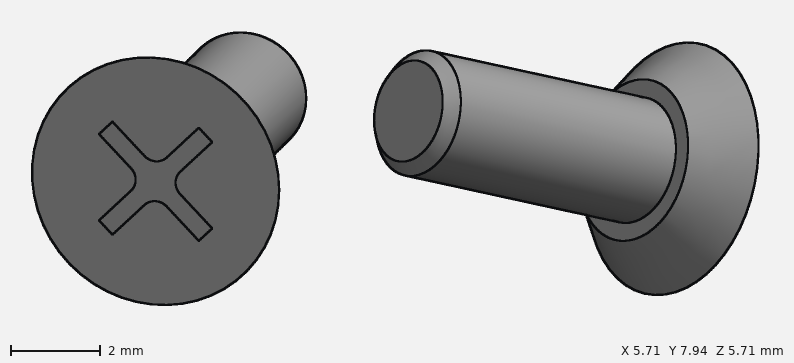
import cadquery as cq

SCREW_LENGTH = 7.94
HEAD_DIAMETER = 5.71
HEAD_BASE_DIAMETER = 3.65
HEAD_HEIGHT = 1.19
SHANK_DIAMETER = 2.84
TIP_CHAMFER_LENGTH = 0.29
TIP_CHAMFER_DEPTH = 0.28

CROSS_SPAN = 3.255
CROSS_ARM_WIDTH = 0.44
CROSS_CORNER_RADIUS = 0.365
CROSS_DEPTH = HEAD_HEIGHT / 2
CROSS_ANGLE = 45.0


def make_screw_blank():
    """Revolve the half profile of countersunk head, shank and tip."""
    shank_radius = SHANK_DIAMETER / 2
    return (
        cq.Workplane("XY")
        .moveTo(0, 0)
        .lineTo(HEAD_DIAMETER / 2, 0)
        .lineTo(HEAD_BASE_DIAMETER / 2, HEAD_HEIGHT)
        .lineTo(shank_radius, HEAD_HEIGHT)
        .lineTo(shank_radius, SCREW_LENGTH - TIP_CHAMFER_LENGTH)
        .lineTo(shank_radius - TIP_CHAMFER_DEPTH, SCREW_LENGTH)
        .lineTo(0, SCREW_LENGTH)
        .close()
        .revolve(360, (0, 0, 0), (0, 1, 0))
    )


def make_cross_insert():
    """Extrude two crossed bars into the head and round the inner corners."""
    plane = cq.Workplane("XZ")
    bar = plane.rect(CROSS_SPAN, CROSS_ARM_WIDTH).extrude(-CROSS_DEPTH)
    crossing_bar = plane.rect(CROSS_ARM_WIDTH, CROSS_SPAN).extrude(-CROSS_DEPTH)
    inner_corners = cq.selectors.BoxSelector(
        (-CROSS_ARM_WIDTH, -CROSS_DEPTH, -CROSS_ARM_WIDTH),
        (CROSS_ARM_WIDTH, 2 * CROSS_DEPTH, CROSS_ARM_WIDTH),
    )
    cross = bar.union(crossing_bar).edges("|Y").edges(inner_corners).fillet(CROSS_CORNER_RADIUS)
    return cross.rotate((0, 0, 0), (0, 1, 0), CROSS_ANGLE)


cross_insert = make_cross_insert()

screw = make_screw_blank().cut(cross_insert)

result = cq.Compound.makeCompound([screw.solids().val(), cross_insert.solids().val()])